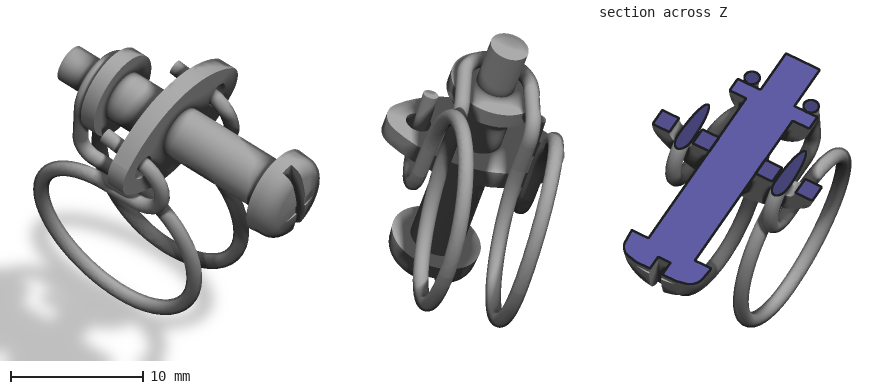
import cadquery as cq
import math


shank_radius = 2.05
tip_radius = 1.5
collar_radius = 3.5
tip_x = -7.15
collar_x = -3.33
collar_thickness = 1.25
head_x = 12.6
rim_x = 13.75
rim_radius = 3.4
crown_edge_x = 14.85
crown_edge_radius = 2.35
crown_x = 15.15
corner_mid_x = 14.54
corner_mid_radius = 3.02
driver_slot_width = 1.05
cross_groove_width = 0.95
cross_groove_floor_x = 14.99

plate_x = 2.0
plate_thickness = 1.5
plate_half_height = 4.0
plate_half_length = 7.0
plate_end_radius = 2.0
wire_hole_radius = 1.0
wire_hole_y = 4.5

wire_radius = 0.6
inner_y = 2.85
outer_y = 4.23
loop_top_z = -5.0
loop_diameter = 14.2
hook_radius = 2.55
hook_tilt = math.radians(10)
hook_end_x = -0.4
bow_radius = 2.65
bend_radius = 1.45


def make_pin():
    """Stepped pin with a collar and a slotted round head."""
    profile = (
        cq.Workplane("XY")
        .moveTo(tip_x, 0)
        .lineTo(tip_x, tip_radius)
        .lineTo(collar_x, tip_radius)
        .lineTo(collar_x, collar_radius)
        .lineTo(collar_x + collar_thickness, collar_radius)
        .lineTo(collar_x + collar_thickness, shank_radius)
        .lineTo(head_x, shank_radius)
        .lineTo(head_x, collar_radius)
        .lineTo(rim_x, rim_radius)
        .threePointArc((corner_mid_x, corner_mid_radius), (crown_edge_x, crown_edge_radius))
        .threePointArc(crown_midpoint(), (crown_x, 0))
        .close()
    )
    body = profile.revolve(360, (0, 0, 0), (1, 0, 0))
    head_span = 2 * collar_radius
    slot = cq.Workplane("XY").box(
        head_span, driver_slot_width, head_span, centered=(False, True, True)
    )
    groove = cq.Workplane("XY").box(
        head_span, head_span, cross_groove_width, centered=(False, True, True)
    )
    body = body.cut(slot.translate((rim_x, 0, 0)))
    return body.cut(groove.translate((cross_groove_floor_x, 0, 0)))


def crown_midpoint():
    """Point halfway out on the crown, a spherical cap centred on the pin axis."""
    rise = crown_x - crown_edge_x
    sphere_radius = (crown_edge_radius**2 + rise**2) / (2 * rise)
    radius = crown_edge_radius / 2
    return (crown_x - sphere_radius + math.sqrt(sphere_radius**2 - radius**2), radius)


def make_plate():
    """Lens-shaped plate with a pin bore and two wire holes."""
    end_y = plate_half_length - plate_end_radius
    step = plate_half_height - plate_end_radius
    centre_depth = (end_y**2 - step**2) / (2 * step)
    reach = math.hypot(end_y, centre_depth)
    joint_y = end_y + plate_end_radius * end_y / reach
    joint_z = plate_end_radius * centre_depth / reach

    blank = (
        cq.Workplane("YZ", origin=(plate_x, 0, 0))
        .moveTo(-joint_y, joint_z)
        .threePointArc((0, plate_half_height), (joint_y, joint_z))
        .threePointArc((plate_half_length, 0), (joint_y, -joint_z))
        .threePointArc((0, -plate_half_height), (-joint_y, -joint_z))
        .threePointArc((-plate_half_length, 0), (-joint_y, joint_z))
        .close()
        .extrude(plate_thickness)
    )
    holes = cq.Workplane("YZ", origin=(plate_x, 0, 0)).circle(shank_radius).extrude(plate_thickness)
    for side in (-1, 1):
        wire_hole = (
            cq.Workplane("YZ", origin=(plate_x, side * wire_hole_y, 0))
            .circle(wire_hole_radius)
            .extrude(plate_thickness)
        )
        holes = holes.union(wire_hole)
    return blank.cut(holes)


def half_wire_path():
    """Centreline of the +Y half of the spring, from the top of the bow to the hook's end."""
    leg_x = collar_x - wire_radius
    bow_centre_z = tip_radius + wire_radius - bow_radius

    drop = bow_centre_z - loop_top_z
    lean = math.atan2(inner_y, drop) - math.asin(bow_radius / math.hypot(inner_y, drop))
    bow_end = (leg_x, bow_radius * math.cos(lean), bow_centre_z + bow_radius * math.sin(lean))
    bow_mid_angle = (lean + math.pi / 2) / 2
    bow_mid = (
        leg_x,
        bow_radius * math.cos(bow_mid_angle),
        bow_centre_z + bow_radius * math.sin(bow_mid_angle),
    )

    def on_leg_plane(x, height):
        """Point in the leaning plane of the leg, at a height above the lead wire."""
        return (x, inner_y - height * math.sin(lean), loop_top_z + height * math.cos(lean))

    bend_offset = bend_radius * (1 - math.sqrt(0.5))
    bend_start = on_leg_plane(leg_x, bend_radius)
    bend_mid = on_leg_plane(leg_x + bend_offset, bend_offset)
    bend_end = on_leg_plane(leg_x + bend_radius, 0)

    loop_radius = loop_diameter / 2
    loop_mid_z = loop_top_z - loop_radius
    loop_start = (0, inner_y, loop_top_z)
    loop_bottom = (0, inner_y, loop_top_z - loop_diameter)
    loop_end = (0, outer_y, loop_top_z)
    sloped_mid_y = (inner_y + outer_y) / 2

    hook_x = hook_radius
    hook_centre_z = loop_top_z + hook_radius
    hook_start = (hook_x, outer_y, loop_top_z)
    hook_mid = (hook_x + hook_radius, outer_y, hook_centre_z)
    hook_top_x = hook_x + hook_radius * math.sin(hook_tilt)
    hook_top_z = hook_centre_z + hook_radius * math.cos(hook_tilt)
    tail_z = hook_top_z + (hook_top_x - hook_end_x) * math.tan(hook_tilt)

    def line(start, end):
        return cq.Edge.makeLine(cq.Vector(*start), cq.Vector(*end))

    def arc(start, middle, end):
        return cq.Edge.makeThreePointArc(cq.Vector(*start), cq.Vector(*middle), cq.Vector(*end))

    return cq.Wire.assembleEdges([
        arc((leg_x, 0, bow_centre_z + bow_radius), bow_mid, bow_end),
        line(bow_end, bend_start),
        arc(bend_start, bend_mid, bend_end),
        line(bend_end, loop_start),
        arc(loop_start, (loop_radius, inner_y, loop_mid_z), loop_bottom),
        arc(loop_bottom, (-loop_radius, sloped_mid_y, loop_mid_z), loop_end),
        line(loop_end, hook_start),
        arc(hook_start, hook_mid, (hook_top_x, outer_y, hook_top_z)),
        line((hook_top_x, outer_y, hook_top_z), (hook_end_x, outer_y, tail_z)),
    ])


def make_spring():
    """Round wire swept along its centreline and mirrored about the XZ plane."""
    path = half_wire_path()
    section = cq.Workplane(cq.Plane(path.startPoint(), xDir=(1, 0, 0), normal=(0, 1, 0)))
    half = section.circle(wire_radius).sweep(cq.Workplane(path))
    return half.union(half.mirror("XZ"))


pin = make_pin()
plate = make_plate()
spring = make_spring()

result = cq.Compound.makeCompound([pin.val(), plate.val(), spring.val()])